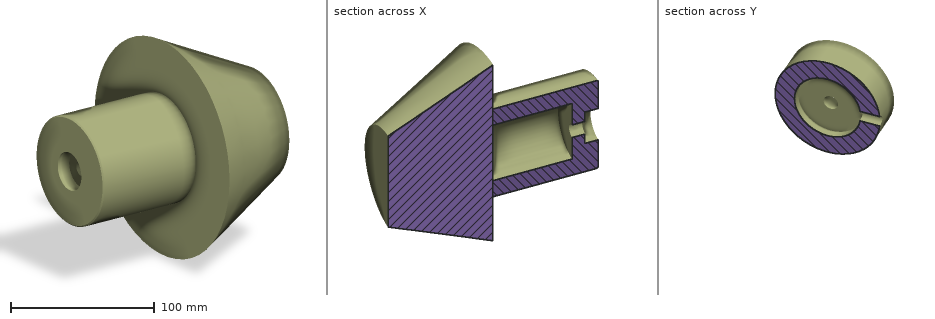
import cadquery as cq

total_length = 160.0
head_length = total_length / 2
head_base_radius = 80.0
head_tip_radius = 41.5
shaft_length = total_length - head_length
shaft_radius = 40.0
end_chamfer = 1.0
counterbore_diameter = 28.0
counterbore_depth = 10.0
bore_diameter = 11.0
cavity_radius = 25.0
end_wall = 20.0
cross_hole_diameter = 8.0
cross_hole_from_end = 26.0


def make_head():
    """Truncated cone, widest where it meets the shaft."""
    profile = (
        cq.Workplane("XY")
        .moveTo(0, 0)
        .lineTo(head_base_radius, 0)
        .lineTo(head_tip_radius, head_length)
        .lineTo(0, head_length)
        .close()
    )
    return profile.revolve(360, (0, 0), (0, 1))


def make_shaft():
    """Hollow round shaft with a counterbored end wall and a cross hole in its side."""
    shaft = (
        cq.Workplane("XZ")
        .circle(shaft_radius)
        .extrude(shaft_length)
        .faces("<Y")
        .chamfer(end_chamfer)
    )

    cavity = cq.Workplane("XZ").circle(cavity_radius).extrude(shaft_length - end_wall)

    bore = cq.Workplane("XZ").circle(bore_diameter / 2).extrude(shaft_length)
    counterbore = (
        cq.Workplane("XZ", origin=(0, counterbore_depth - shaft_length, 0))
        .circle(counterbore_diameter / 2)
        .extrude(counterbore_depth)
    )

    cross_hole = (
        cq.Workplane("YZ", origin=(-shaft_radius, cross_hole_from_end - shaft_length, 0))
        .circle(cross_hole_diameter / 2)
        .extrude(shaft_radius)
    )
    return shaft.cut(cavity).cut(bore).cut(counterbore).cut(cross_hole)


head = make_head()
shaft = make_shaft()
result = cq.Compound.makeCompound([head.val(), shaft.val()])